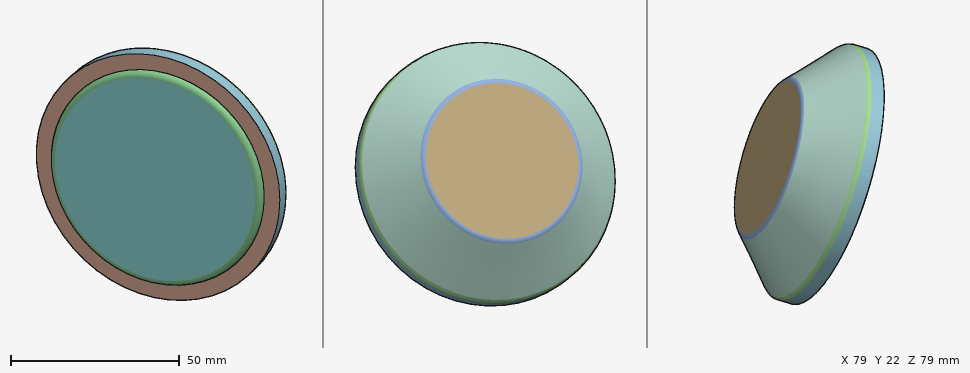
import cadquery as cq
import math

rim_radius = 39.5
total_depth = 22.0
pad_radius = 34.45
pad_height = 2.0
pad_fillet = 1.9
rim_depth = 4.9
cone_angle = 45.0
edge_fillet = 2.0

body_depth = total_depth - pad_height
cone_depth = body_depth - rim_depth
back_radius = rim_radius - cone_depth * math.tan(math.radians(cone_angle))


def make_body():
    """Rim and cone, revolved about Y with the rim's front face at Y = 0."""
    body = (
        cq.Workplane("XY")
        .lineTo(rim_radius, 0)
        .lineTo(rim_radius, rim_depth)
        .lineTo(back_radius, body_depth)
        .lineTo(0, body_depth)
        .close()
        .revolve(360, (0, 0, 0), (0, 1, 0))
    )
    return body.faces("%CONE").edges("%CIRCLE").fillet(edge_fillet)


def make_pad():
    """Round pad in front of the rim, with a rounded outer edge."""
    pad = cq.Workplane("XZ").circle(pad_radius).extrude(pad_height)
    return pad.faces("<Y").edges().fillet(pad_fillet)


result = make_body().union(make_pad())